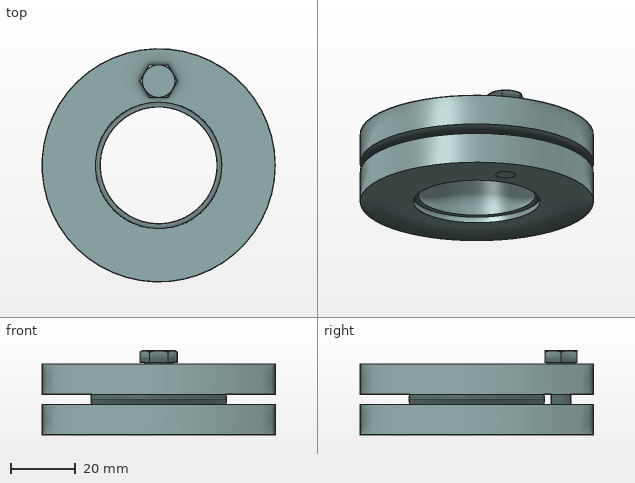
import cadquery as cq
import math

disc_diameter = 72.0
disc_thickness = 9.4
disc_gap = 3.1
stack_height = 2 * disc_thickness + disc_gap
middle_height = stack_height / 2

ring_bore_diameter = 36.0
taper_middle_diameter = 42.0
taper_end_diameter = 39.0
ring_recess = 1.95

screw_offset = 26.0
shank_diameter = 6.05
collar_diameter = 8.8
collar_height = 0.4
head_across_flats = 10.0
head_height = 3.6
head_chamfer_angle = 30.0


def taper_radius(distance):
    """Radius of the tapered seat at a distance above or below the middle."""
    slope = (taper_middle_diameter - taper_end_diameter) / 2 / middle_height
    return taper_middle_diameter / 2 - slope * distance


def make_double_cone(half_length):
    """Solid that tapers both ways from the middle of the stack."""
    end_radius = taper_radius(half_length)
    bottom = middle_height - half_length
    top = middle_height + half_length
    return (
        cq.Workplane("XZ")
        .moveTo(0, bottom)
        .lineTo(end_radius, bottom)
        .lineTo(taper_middle_diameter / 2, middle_height)
        .lineTo(end_radius, top)
        .lineTo(0, top)
        .close()
        .revolve(360, (0, 0, 0), (0, 1, 0))
    )


def make_cylinder(diameter, bottom, height, y=0.0):
    """Upright cylinder centred on the YZ plane."""
    return (
        cq.Workplane("XY", origin=(0, y, bottom))
        .circle(diameter / 2)
        .extrude(height)
    )


def make_inner_ring():
    ring = make_double_cone(middle_height - ring_recess)
    return ring.cut(make_cylinder(ring_bore_diameter, 0, stack_height))


def make_disc(bottom):
    """Disc with a tapered seat for the ring and a hole for the screw."""
    disc = make_cylinder(disc_diameter, bottom, disc_thickness)
    disc = disc.cut(make_double_cone(middle_height))
    return disc.cut(make_cylinder(shank_diameter, 0, stack_height, screw_offset))


def make_screw_head():
    """Hexagon whose top corners are trimmed by a chamfer cone."""
    bottom = stack_height + collar_height
    across_corners = head_across_flats / math.cos(math.radians(30))
    corner_radius = across_corners / 2
    flat_radius = head_across_flats / 2
    chamfer_drop = (corner_radius - flat_radius) * math.tan(math.radians(head_chamfer_angle))
    hexagon = (
        cq.Workplane("XY", origin=(0, screw_offset, bottom))
        .polygon(6, across_corners)
        .extrude(head_height)
    )
    trimmer = (
        make_cylinder(across_corners, bottom, head_height, screw_offset)
        .faces(">Z")
        .chamfer(chamfer_drop, corner_radius - flat_radius)
    )
    return hexagon.intersect(trimmer)


def make_screw():
    """Screw with its shank reaching through both discs."""
    shank = make_cylinder(shank_diameter, 0, stack_height, screw_offset)
    collar = make_cylinder(collar_diameter, stack_height, collar_height, screw_offset)
    return shank.union(collar).union(make_screw_head())


inner_ring = make_inner_ring()
discs = [make_disc(bottom) for bottom in (0, disc_thickness + disc_gap)]
screw = make_screw()

result = cq.Compound.makeCompound(
    [inner_ring.val(), *[disc.val() for disc in discs], screw.val()]
)